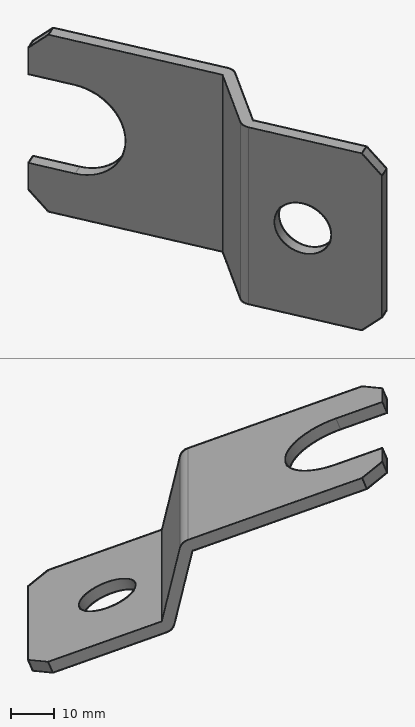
import cadquery as cq
import math

length = 94.0
depth = 20.0
height = 50.0
thickness = 3.0

rear_bend_x = 47.9
front_bend_x = 61.0
rear_bend_y = depth - thickness
front_bend_y = thickness

corner_chamfer = 5.0
slot_width = 25.0
slot_center_x = 11.5
hole_diameter = 14.0
hole_x = 74.45

bend_dx = front_bend_x - rear_bend_x
bend_dy = rear_bend_y - front_bend_y
bend_angle = math.atan2(bend_dy, bend_dx) + math.asin(thickness / math.hypot(bend_dx, bend_dy))


def around_bend(x, y, angle, side):
    """Point on the outside of a bend, turned from the flat's normal; side is +1 rear, -1 front."""
    return (
        x + side * thickness * math.sin(angle),
        y + side * thickness * math.cos(angle),
    )


def bent_strip():
    """Offset sheet profile in the XY plane, extruded to the full height."""
    rear = (rear_bend_x, rear_bend_y)
    front = (front_bend_x, front_bend_y)
    return (
        cq.Workplane("XY")
        .moveTo(0, rear_bend_y)
        .lineTo(*rear)
        .lineTo(*around_bend(*front, bend_angle, -1))
        .threePointArc(around_bend(*front, bend_angle / 2, -1), (front_bend_x, 0))
        .lineTo(length, 0)
        .lineTo(length, front_bend_y)
        .lineTo(*front)
        .lineTo(*around_bend(*rear, bend_angle, 1))
        .threePointArc(around_bend(*rear, bend_angle / 2, 1), (rear_bend_x, depth))
        .lineTo(0, depth)
        .close()
        .extrude(height)
    )


def through_plate(sketch):
    """Extrude an XZ outline through the full depth."""
    return sketch.extrude(-depth)


mid_z = height / 2

slot = through_plate(
    cq.Workplane("XZ")
    .moveTo(0, mid_z - slot_width / 2)
    .lineTo(slot_center_x, mid_z - slot_width / 2)
    .threePointArc(
        (slot_center_x + slot_width / 2, mid_z),
        (slot_center_x, mid_z + slot_width / 2),
    )
    .lineTo(0, mid_z + slot_width / 2)
    .close()
)

hole = through_plate(cq.Workplane("XZ").center(hole_x, mid_z).circle(hole_diameter / 2))

strip = bent_strip()
end_corners = strip.edges("|Y and (<X or >X)")
result = end_corners.chamfer(corner_chamfer).cut(slot).cut(hole)